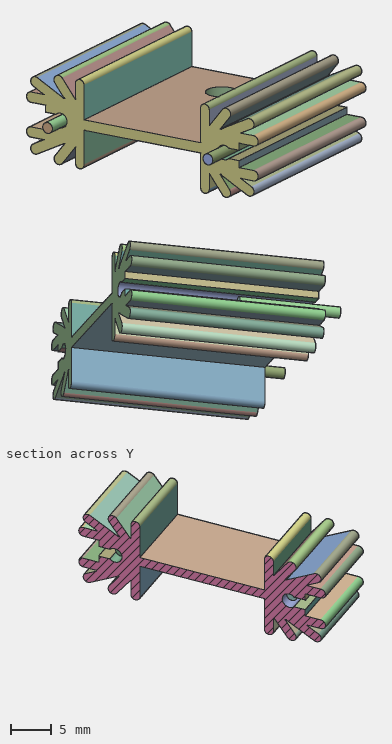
import cadquery as cq
import math

width = 33.8
height = 11.6
sink_length = 25.0
web_thickness = 1.35

core_inner_x = 8.5
core_outer_x = 14.13
core_half_height = 2.95
wall_thickness = 1.3
fin_thickness = 1.35
fin_radius = fin_thickness / 2
steep_fin_tip_x = 12.2
steep_fin_angle = 52.0
steep_fin_length = 3.38
shallow_fin_tip_x = 15.6
shallow_fin_tip_z = 4.35
shallow_fin_angle = 27.5
shallow_fin_length = 4.05

pin_diameter = 1.42
pin_x = 11.7
pin_protrusion = 3.38
pin_insertion = 9.63
bore_diameter = 1.9
bore_x = pin_x + (bore_diameter - pin_diameter) / 2
slot_width = 1.35

hole_diameter = 4.02
hole_from_back = 6.6


def bar(x_min, x_max, z_min, z_max):
    """Rectangular bar along the full length of the heat sink."""
    return cq.Workplane("XY").box(
        x_max - x_min, sink_length, z_max - z_min, centered=False
    ).translate((x_min, 0, z_min))


def fin(tip_x, tip_z, angle, length, thickness):
    """Round-ended fin sloping inward and down from the centre of its tip."""
    slope = math.radians(angle)
    center_x = tip_x - length / 2 * math.cos(slope)
    center_z = tip_z - length / 2 * math.sin(slope)
    return (
        cq.Workplane("XZ", origin=(center_x, 0, center_z))
        .slot2D(length + thickness, thickness, angle)
        .extrude(-sink_length)
    )


def upper_fins():
    """The four fins in the upper half of the right-hand cluster."""
    wall_radius = wall_thickness / 2
    wall_tip_z = height / 2 - wall_radius
    wall = fin(core_inner_x + wall_radius, wall_tip_z, 90, wall_tip_z, wall_thickness)
    steep = fin(
        steep_fin_tip_x, height / 2 - fin_radius, steep_fin_angle, steep_fin_length, fin_thickness
    )
    shallow = fin(
        shallow_fin_tip_x, shallow_fin_tip_z, shallow_fin_angle, shallow_fin_length, fin_thickness
    )
    level_tip_x = width / 2 - fin_radius
    level = fin(
        level_tip_x, core_half_height - fin_radius, 0, level_tip_x - bore_x, fin_thickness
    )
    return wall.union(steep).union(shallow).union(level)


def fin_cluster():
    """Right-hand core with its fins and the open-sided bore for a pin."""
    fins = upper_fins()
    core = bar(core_inner_x, core_outer_x, -core_half_height, core_half_height)
    bore = (
        cq.Workplane("XZ", origin=(bore_x, 0, 0)).circle(bore_diameter / 2).extrude(-sink_length)
    )
    slot = bar(bore_x, width / 2, -slot_width / 2, slot_width / 2)
    return core.union(fins).union(fins.mirror("XY")).cut(bore).cut(slot)


def make_heat_sink():
    cluster = fin_cluster()
    web = bar(-core_inner_x, core_inner_x, -web_thickness / 2, web_thickness / 2)
    hole = (
        cq.Workplane("XY", origin=(0, sink_length - hole_from_back, -web_thickness / 2))
        .circle(hole_diameter / 2)
        .extrude(web_thickness)
    )
    return web.cut(hole).union(cluster).union(cluster.mirror("YZ"))


def make_pin(x):
    return (
        cq.Workplane("XZ", origin=(x, -pin_protrusion, 0))
        .circle(pin_diameter / 2)
        .extrude(-(pin_protrusion + pin_insertion))
    )


heat_sink = make_heat_sink()
pins = [make_pin(side * pin_x) for side in (-1, 1)]

result = cq.Compound.makeCompound([heat_sink.val(), *(pin.val() for pin in pins)])